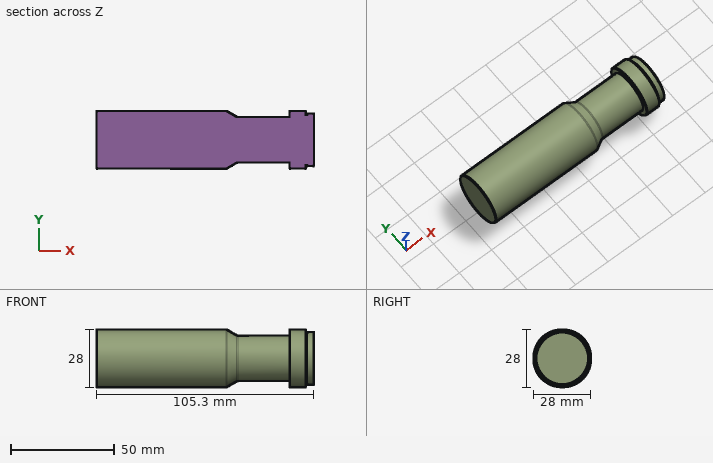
import cadquery as cq
import math

total_length = 105.3
shoulder_x = 63.0
collar_start = 93.3
collar_end = 101.3
tip_start = 101.8

body_radius = 14.0
neck_radius = 11.1
groove_radius = 12.2
tip_radius = 12.8

taper_angle = math.radians(30)
shoulder_fillet = 1.3
neck_fillet = 1.3
edge_chamfer = 0.3

taper_end = shoulder_x + (body_radius - neck_radius) / math.tan(taper_angle)


def cylinder(start, end, radius):
    """Solid cylinder along X between two axial positions."""
    return cq.Workplane("YZ").workplane(offset=start).circle(radius).extrude(end - start)


shaft = (
    cq.Workplane("XY")
    .polyline([
        (0, 0),
        (0, body_radius),
        (shoulder_x, body_radius),
        (taper_end, neck_radius),
        (collar_start, neck_radius),
        (collar_start, 0),
    ])
    .close()
    .revolve(360, (0, 0, 0), (1, 0, 0))
)


def edge_at(x):
    """Selector for the circular edge at one axial position."""
    margin = 0.1
    reach = 2 * body_radius
    return cq.selectors.BoxSelector(
        (x - margin, -reach, -reach), (x + margin, reach, reach), boundingbox=True
    )


shaft = shaft.edges(edge_at(shoulder_x)).fillet(shoulder_fillet)
shaft = shaft.edges(edge_at(taper_end)).fillet(neck_fillet)
shaft = shaft.faces("<X").chamfer(edge_chamfer)

collar = cylinder(collar_start, collar_end, body_radius).faces("<X or >X").chamfer(edge_chamfer)
groove_core = cylinder(collar_end, tip_start, groove_radius)
tip = cylinder(tip_start, total_length, tip_radius).faces(">X").chamfer(edge_chamfer)

result = shaft.union(collar).union(groove_core).union(tip)